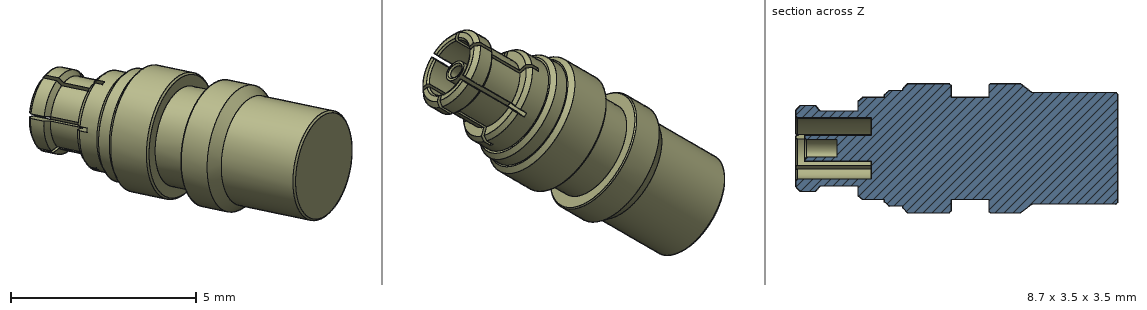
import cadquery as cq

length = 8.7
body_radius = 1.75

tip_radius = 1.17
tip_lead_in = 0.12
tip_lead_in_depth = 0.13
tip_rear = 0.54
neck_radius = 1.02
neck_start = 0.66

front_chamfer_length = 0.13
collar_chamfer_depth = 0.105
step_chamfer_depth = 0.12
body_chamfer_depth = 0.14
collar_radius = 1.38
collar_start = 1.68
step_radius = 1.57
step_start = 2.39
body_start = 2.89
body_end = 4.2
body_rear_chamfer = 0.05
waist_radius = collar_radius

flange_start = 5.22
flange_end = 6.07
flange_chamfer = 0.035
barrel_radius = 1.51
barrel_start = 6.38
barrel_chamfer = 0.05

bore_radius = 0.83
bore_depth = 2.04
bore_chamfer = 0.05
contact_start = 0.24
contact_long_radius = 0.365
contact_short_radius = 0.3
contact_tilt = 22.0
contact_wall = 0.07
socket_lead_in = 0.05
socket_depth = 0.87

slot_count = 6
slot_width = 0.12
slot_depth = bore_depth
slot_angle = 7.7


def chamfered_start(start, radius, depth):
    """Profile points of a cylinder's chamfered front edge."""
    return [
        (start, radius - depth),
        (start + front_chamfer_length, radius),
    ]


def revolve_about_axis(profile):
    """Solid turned about the X axis from (position, radius) points."""
    return cq.Workplane("XY").polyline(profile).close().revolve(360, (0, 0, 0), (1, 0, 0))


def turned_body():
    """Solid of revolution with the full outer contour."""
    profile = [
        (0, 0),
        (0, tip_radius - tip_lead_in_depth),
        (tip_lead_in, tip_radius),
        (tip_rear, tip_radius),
        (neck_start, neck_radius),
        (collar_start, neck_radius),
        *chamfered_start(collar_start, collar_radius, collar_chamfer_depth),
        (step_start, collar_radius),
        *chamfered_start(step_start, step_radius, step_chamfer_depth),
        (body_start, step_radius),
        *chamfered_start(body_start, body_radius, body_chamfer_depth),
        (body_end - body_rear_chamfer, body_radius),
        (body_end, body_radius - body_rear_chamfer),
        (body_end, waist_radius),
        (flange_start, waist_radius),
        (flange_start, body_radius - flange_chamfer),
        (flange_start + flange_chamfer, body_radius),
        (flange_end, body_radius),
        (barrel_start, barrel_radius),
        (length - barrel_chamfer, barrel_radius),
        (length, barrel_radius - barrel_chamfer),
        (length, 0),
    ]
    return revolve_about_axis(profile)


def front_bore():
    """Cavity inside the tip, widened by a chamfer at its mouth."""
    profile = [
        (0, 0),
        (0, bore_radius + bore_chamfer),
        (bore_chamfer, bore_radius),
        (bore_depth, bore_radius),
        (bore_depth, 0),
    ]
    return revolve_about_axis(profile)


def slots():
    """Slots that split the tip, neck and front of the collar into equal fingers."""
    blade = cq.Workplane("XY").box(
        slot_depth, body_radius, slot_width, centered=(False, False, True)
    )
    cutters = cq.Workplane("XY")
    for index in range(slot_count):
        angle = -slot_angle + index * 360 / slot_count
        cutters = cutters.add(blade.rotate((0, 0, 0), (1, 0, 0), angle))
    return cutters.combine()


def contact_ellipse(start, inset):
    """Tilted ellipse across the axis, drawn inside the contact's outline by the inset."""
    return (
        cq.Workplane("YZ", origin=(start, 0, 0))
        .transformed(rotate=(0, 0, contact_tilt))
        .ellipse(contact_long_radius - inset, contact_short_radius - inset)
    )


def centre_contact():
    """Elliptical socket contact standing on the floor of the bore."""
    contact = contact_ellipse(contact_start, 0).extrude(bore_depth - contact_start)
    socket_inset = contact_wall + socket_lead_in
    socket = contact_ellipse(contact_start, socket_inset).extrude(socket_depth)
    lead_in = (
        contact_ellipse(contact_start, contact_wall)
        .workplane(offset=socket_lead_in)
        .ellipse(contact_long_radius - socket_inset, contact_short_radius - socket_inset)
        .loft(ruled=True)
    )
    return contact.cut(socket).cut(lead_in)


result = turned_body().cut(front_bore()).cut(slots()).union(centre_contact())